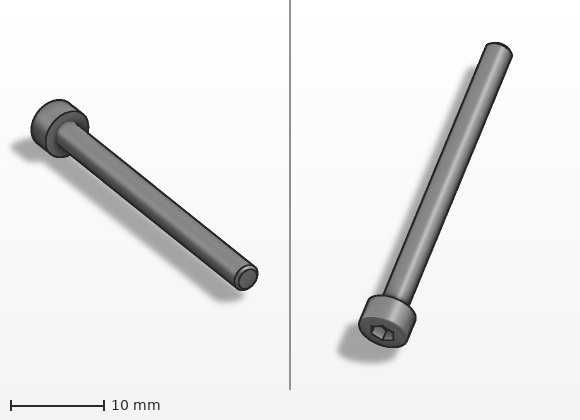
import cadquery as cq
import math

total_length = 38.0
head_length = 3.0
head_diameter = 5.5
shank_diameter = 3.0
head_edge_radius = 0.3
tip_chamfer = 0.35
under_head_fillet = 0.1
socket_width = 2.5
socket_depth = 1.3
socket_cone_angle = 120.0

head_start = -total_length / 2
head_end = head_start + head_length
shank_length = total_length - head_length
socket_corner_diameter = socket_width / math.cos(math.pi / 6)


def make_head():
    """Cylindrical head with a rounded outer edge on the socket face."""
    face_plane = cq.Workplane("YZ", origin=(head_start, 0, 0))
    head = face_plane.circle(head_diameter / 2).extrude(head_length)
    return head.faces("<X").edges().fillet(head_edge_radius)


def make_shank():
    """Plain shank with a chamfered tip."""
    shank = cq.Workplane("YZ", origin=(head_end, 0, 0)).circle(shank_diameter / 2).extrude(shank_length)
    return shank.faces(">X").edges().chamfer(tip_chamfer)


def make_under_head_fillet():
    """Ring that blends the shank into the flat underside of the head."""
    shank_radius = shank_diameter / 2
    arc_offset = under_head_fillet * (1 - math.sqrt(0.5))
    return (
        cq.Workplane("XY")
        .moveTo(head_end, 0)
        .lineTo(head_end, shank_radius + under_head_fillet)
        .threePointArc(
            (head_end + arc_offset, shank_radius + arc_offset),
            (head_end + under_head_fillet, shank_radius),
        )
        .lineTo(head_end + under_head_fillet, 0)
        .close()
        .revolve(360, (0, 0, 0), (1, 0, 0))
    )


def make_socket():
    """Hexagonal socket, corners up and down, whose whole floor is a cone reaching the corners."""
    corner_radius = socket_corner_diameter / 2
    cone_depth = corner_radius / math.tan(math.radians(socket_cone_angle / 2))
    hexagon = (
        cq.Workplane("YZ", origin=(head_start, 0, 0))
        .transformed(rotate=(0, 0, 90))
        .polygon(6, socket_corner_diameter)
        .extrude(socket_depth + cone_depth)
    )
    pointed_bore = (
        cq.Workplane("XY")
        .moveTo(head_start, 0)
        .lineTo(head_start, corner_radius)
        .lineTo(head_start + socket_depth, corner_radius)
        .lineTo(head_start + socket_depth + cone_depth, 0)
        .close()
        .revolve(360, (0, 0, 0), (1, 0, 0))
    )
    return hexagon.intersect(pointed_bore)


result = make_head().union(make_shank()).union(make_under_head_fillet()).cut(make_socket())